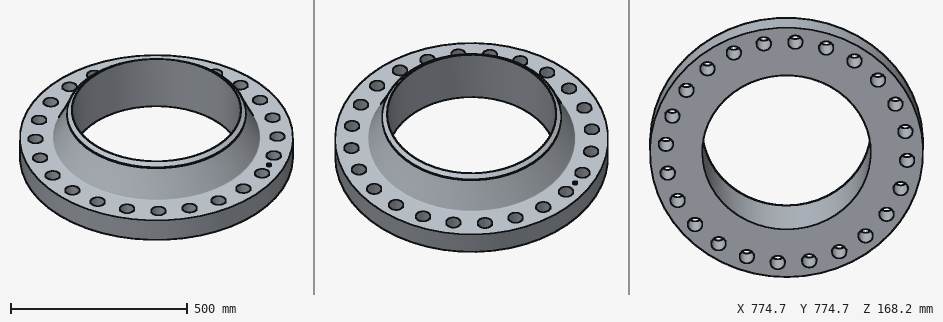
import cadquery as cq
import math

FLANGE_DIAMETER = 774.7
FLANGE_THICKNESS = 69.85
OVERALL_HEIGHT = 168.15

BORE_DIAMETER = 478.0
PIPE_DIAMETER = 508.0
HUB_BASE_DIAMETER = 587.4
HUB_FILLET_RADIUS = 3.5
STRAIGHT_LENGTH = 4.0
LAND_WIDTH = 1.6
BEVEL_ANGLE = 37.5

BOLT_COUNT = 24
BOLT_CIRCLE_DIAMETER = 685.8
BOLT_HOLE_DIAMETER = 41.3

STEPPED_HOLE_ANGLE = 180.0 / BOLT_COUNT
COUNTERBORE_DIAMETER = 13.0
COUNTERBORE_DEPTH = 2.0
PILOT_DIAMETER = 7.0
PILOT_DEPTH = 4.0


def make_body():
    """Revolve the half section of the flange plate and its welding neck."""
    bore_radius = BORE_DIAMETER / 2
    flange_radius = FLANGE_DIAMETER / 2
    hub_base_radius = HUB_BASE_DIAMETER / 2
    pipe_radius = PIPE_DIAMETER / 2
    land_radius = bore_radius + LAND_WIDTH
    bevel_height = (pipe_radius - land_radius) * math.tan(math.radians(BEVEL_ANGLE))
    bevel_start = OVERALL_HEIGHT - bevel_height
    taper_end = bevel_start - STRAIGHT_LENGTH
    section = (
        cq.Workplane("XZ")
        .moveTo(bore_radius, 0)
        .lineTo(flange_radius, 0)
        .lineTo(flange_radius, FLANGE_THICKNESS)
        .lineTo(hub_base_radius, FLANGE_THICKNESS)
        .lineTo(pipe_radius, taper_end)
        .lineTo(pipe_radius, bevel_start)
        .lineTo(land_radius, OVERALL_HEIGHT)
        .lineTo(bore_radius, OVERALL_HEIGHT)
        .close()
    )
    return section.revolve(360, (0, 0, 0), (0, 1, 0))


def fillet_hub_base(body):
    """Round the corner where the tapered hub meets the flange face."""
    reach = HUB_BASE_DIAMETER / 2 + HUB_FILLET_RADIUS
    corner_region = cq.selectors.BoxSelector(
        (-reach, -reach, FLANGE_THICKNESS - HUB_FILLET_RADIUS),
        (reach, reach, FLANGE_THICKNESS + HUB_FILLET_RADIUS),
        boundingbox=True,
    )
    return body.edges(corner_region).fillet(HUB_FILLET_RADIUS)


def flange_face_centres(start_angle, count):
    """Return equally spaced bolt circle points on the flange's upper face."""
    face = cq.Workplane("XY", origin=(0, 0, FLANGE_THICKNESS))
    return face.polarArray(BOLT_CIRCLE_DIAMETER / 2, start_angle, 360, count)


def cut_bolt_holes(body):
    """Cut the through holes of the bolt circle."""
    centres = flange_face_centres(0, BOLT_COUNT)
    holes = centres.circle(BOLT_HOLE_DIAMETER / 2).extrude(-FLANGE_THICKNESS)
    return body.cut(holes)


def cut_stepped_hole(body):
    """Cut the small counterbored blind hole on the bolt circle."""
    centre = flange_face_centres(STEPPED_HOLE_ANGLE, 1)
    counterbore = centre.circle(COUNTERBORE_DIAMETER / 2).extrude(-COUNTERBORE_DEPTH)
    pilot = centre.circle(PILOT_DIAMETER / 2).extrude(-PILOT_DEPTH)
    return body.cut(counterbore).cut(pilot)


result = make_body()
result = fillet_hub_base(result)
result = cut_bolt_holes(result)
result = cut_stepped_hole(result)